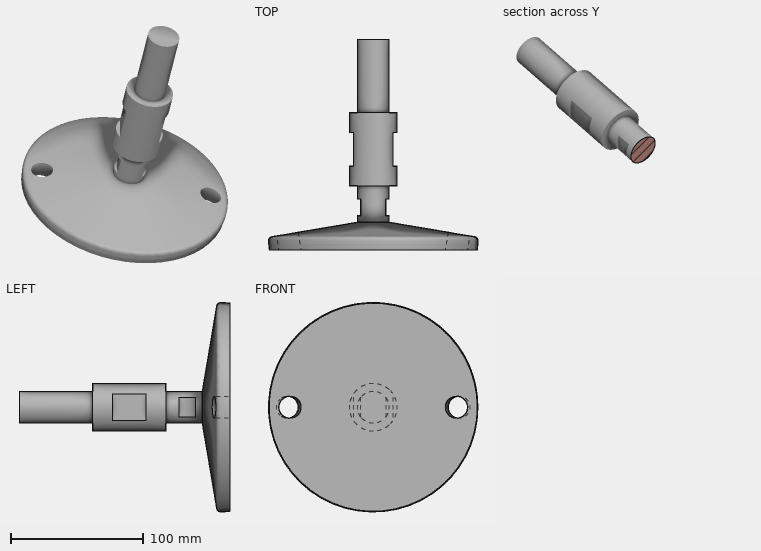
import cadquery as cq
import math

total_length = 159.0

base_radius = 158.0 / 2
sole_radius = 78.5
taper_height = 4.5
rim_height = 9.7
rim_fillet = 3.0
cone_top_height = 21.0
neck_top_height = 21.3

spindle_radius = 24.0 / 2
spindle_flat_width = 19.0
spindle_flat_start = 26.0
spindle_flat_length = 12.4

collar_radius = 36.0 / 2
collar_start = 48.5
collar_length = 55.3
collar_flat_width = 30.0
collar_flat_length = 25.1
collar_flat_start = 63.5

hole_diameter = 16.5
hole_offset = 62.8
cone_angle = math.atan2(cone_top_height - rim_height, base_radius - spindle_radius)


def cylinder(radius, start, length):
    """Cylinder about the Y axis from start to start + length."""
    return cq.Workplane("XZ", origin=(0, start, 0)).circle(radius).extrude(-length)


def wrench_flats(body, radius, width, start, length):
    """Cut two opposite flats, facing -X and +X, into a round body."""
    depth = radius - width / 2
    for side in (-1, 1):
        cutter = cq.Workplane("XY").box(depth, length, 2 * radius).translate(
            (side * (width + depth) / 2, start + length / 2, 0)
        )
        body = body.cut(cutter)
    return body


def make_base_plate():
    """Conical plate with a tapered lower edge, a rounded rim and a low neck at the top."""
    profile = [
        (0, 0),
        (sole_radius, 0),
        (base_radius, taper_height),
        (base_radius, rim_height),
        (spindle_radius, cone_top_height),
        (spindle_radius, neck_top_height),
        (0, neck_top_height),
    ]
    plate = cq.Workplane("XY").polyline(profile).close().revolve(360, (0, 0, 0), (0, 1, 0))
    rim_center = (0, rim_height, 0)
    plate = plate.edges(cq.selectors.NearestToPointSelector(rim_center)).fillet(rim_fillet)
    for side in (-1, 1):
        direction = cq.Vector(side * math.sin(cone_angle), math.cos(cone_angle), 0)
        center = cq.Vector(side * hole_offset, 0, 0)
        start = center - direction * cone_top_height
        drill = cq.Solid.makeCylinder(hole_diameter / 2, 2 * cone_top_height, start, direction)
        plate = plate.cut(cq.Workplane(drill))
    return plate


def make_spindle():
    """Round spindle standing on the plate, with its thicker collar in one piece."""
    shank = cylinder(spindle_radius, neck_top_height, total_length - neck_top_height)
    shank = wrench_flats(
        shank, spindle_radius, spindle_flat_width, spindle_flat_start, spindle_flat_length
    )
    collar = cylinder(collar_radius, collar_start, collar_length)
    collar = wrench_flats(
        collar, collar_radius, collar_flat_width, collar_flat_start, collar_flat_length
    )
    return shank.union(collar)


base_plate = make_base_plate()
spindle = make_spindle()
result = cq.Compound.makeCompound([*base_plate.solids().vals(), spindle.val()])